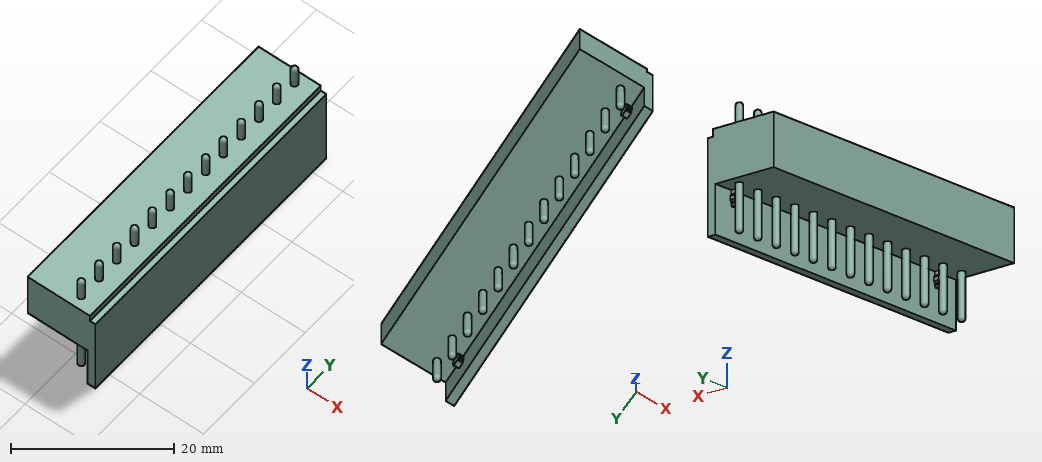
import cadquery as cq

pin_count = 13
pin_pitch = 3.5
pin_radius = 0.5
pin_x = 7.0
pin_above_body = 3.3
pin_tip_to_wall_foot = 0.1

housing_width = 10.6
housing_length = pin_count * pin_pitch
body_height = 7.25
wall_thickness = 1.25
wall_drop = 6.6
step_width = 0.85
step_depth = 1.0

rib_projection = 0.75
rib_end_offset = pin_pitch
rib_neck_half_width = 0.55
rib_belly_half_width = 0.7
rib_foot_half_width = 0.42
rib_neck_end = 0.55
rib_belly_start = 0.8
rib_belly_end = 1.3
rib_taper_end = 1.55
rib_chamfer_start = 1.8
rib_height = 2.1

wall_inner_x = housing_width - wall_thickness
pin_bottom_z = pin_tip_to_wall_foot - wall_drop
pin_top_z = body_height + pin_above_body
first_pin_y = -(pin_count - 1) * pin_pitch / 2
rib_y = housing_length / 2 - rib_end_offset


def make_housing():
    """Stepped block and hanging wall, extruded along the row."""
    outline = [
        (0, 0),
        (0, body_height),
        (housing_width - step_width, body_height),
        (housing_width - step_width, body_height - step_depth),
        (housing_width, body_height - step_depth),
        (housing_width, -wall_drop),
        (wall_inner_x, -wall_drop),
        (wall_inner_x, 0),
    ]
    profile = cq.Workplane("XZ").polyline(outline).close()
    return profile.extrude(housing_length / 2, both=True)


def make_pin(y):
    """Round pin through the body with hemispherical ends."""
    lower_center_z = pin_bottom_z + pin_radius
    upper_center_z = pin_top_z - pin_radius
    axis = cq.Workplane("XY", origin=(pin_x, y, lower_center_z))
    pin = axis.circle(pin_radius).extrude(upper_center_z - lower_center_z)
    for center_z in (lower_center_z, upper_center_z):
        ball = cq.Workplane("XY", origin=(pin_x, y, center_z)).sphere(pin_radius)
        pin = pin.union(ball)
    return pin


def make_rib(y):
    """Flat rib with a wider belly and a chamfered foot."""
    half_outline = [
        (rib_neck_half_width, 0),
        (rib_neck_half_width, -rib_neck_end),
        (rib_belly_half_width, -rib_belly_start),
        (rib_belly_half_width, -rib_belly_end),
        (rib_neck_half_width, -rib_taper_end),
        (rib_neck_half_width, -rib_chamfer_start),
        (rib_foot_half_width, -rib_height),
    ]
    mirrored = [(-across, z) for across, z in reversed(half_outline)]
    return (
        cq.Workplane("YZ", origin=(wall_inner_x - rib_projection, y, 0))
        .polyline(half_outline + mirrored)
        .close()
        .extrude(rib_projection)
    )


result = make_housing()

for index in range(pin_count):
    result = result.union(make_pin(first_pin_y + index * pin_pitch))

for side in (-1, 1):
    result = result.union(make_rib(side * rib_y))